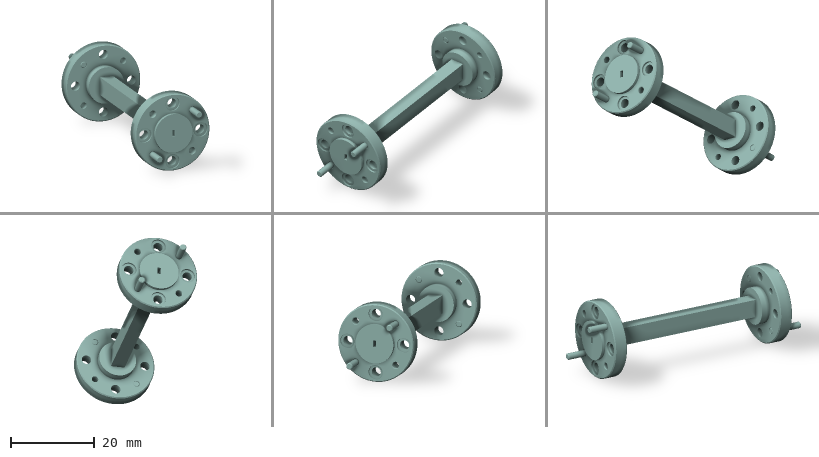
import cadquery as cq
import math

TOTAL_LENGTH = 58.55
FACE_TO_FACE = 50.95
FACE_HEIGHT = 0.9
FLANGE_THICKNESS = 3.35
COLLAR_LENGTH = 2.1
FLANGE_DIAMETER = 19.0
FACE_DIAMETER = 9.55
COLLAR_DIAMETER = 9.0
RIM_CHAMFER = 0.25

TUBE_WIDTH = 3.35
TUBE_HEIGHT = 4.4
BORE_WIDTH = 0.8
BORE_HEIGHT = 1.65

HOLE_CIRCLE_DIAMETER = 14.3
SCREW_HOLE_DIAMETER = 2.3
COUNTERBORE_DIAMETER = 3.6
COUNTERBORE_DEPTH = 0.45

PIN_DIAMETER = 1.6
PIN_CHAMFER = 0.2
PIN_HOLE_CHAMFER = 0.1

FLANGE_OUTER = FACE_TO_FACE / 2 - FACE_HEIGHT
FLANGE_INNER = FLANGE_OUTER - FLANGE_THICKNESS
COLLAR_INNER = FLANGE_INNER - COLLAR_LENGTH

SCREW_HOLE_ANGLES = (0, 90, 180, 270)
PIN_HOLE_ANGLES = (45, 135, 225, 315)
PIN_ANGLES = {-1: (135, 315), 1: (45, 225)}


def rod(diameter, start, end, angle=None):
    """Cylinder along X, on the axis or at an angle on the hole circle."""
    radius = 0 if angle is None else HOLE_CIRCLE_DIAMETER / 2
    turn = math.radians(angle or 0)
    return (
        cq.Workplane("YZ", origin=(start, 0, 0))
        .center(radius * math.cos(turn), radius * math.sin(turn))
        .circle(diameter / 2)
        .extrude(end - start)
    )


def drill_pin_holes(disc, side):
    """Through holes with a chamfered outer mouth; they are the smallest circles on the outer face."""
    for angle in PIN_HOLE_ANGLES:
        disc = disc.cut(rod(PIN_DIAMETER, side * FLANGE_INNER, side * FLANGE_OUTER, angle))
    outer_face = ">X" if side > 0 else "<X"
    smallest_circles = cq.selectors.RadiusNthSelector(0)
    return disc.faces(outer_face).edges(smallest_circles).chamfer(PIN_HOLE_CHAMFER)


def drill_screw_holes(disc, side):
    """Through holes counterbored from the outer face."""
    counterbore_floor = side * (FLANGE_OUTER - COUNTERBORE_DEPTH)
    for angle in SCREW_HOLE_ANGLES:
        disc = disc.cut(rod(SCREW_HOLE_DIAMETER, side * FLANGE_INNER, side * FLANGE_OUTER, angle))
        disc = disc.cut(rod(COUNTERBORE_DIAMETER, counterbore_floor, side * FLANGE_OUTER, angle))
    return disc


def make_flange(side):
    """Drilled disc with collar and raised face; side is -1 for the -X end, +1 for the +X end."""
    disc = rod(FLANGE_DIAMETER, side * FLANGE_INNER, side * FLANGE_OUTER).edges().chamfer(RIM_CHAMFER)
    disc = drill_pin_holes(disc, side)
    disc = drill_screw_holes(disc, side)
    collar = rod(COLLAR_DIAMETER, side * COLLAR_INNER, side * FLANGE_INNER)
    mating_face = rod(FACE_DIAMETER, side * FLANGE_OUTER, side * FACE_TO_FACE / 2)
    return disc.union(collar).union(mating_face)


def make_waveguide():
    """Rectangular tube with a flange at each end and a bore right through."""
    waveguide = cq.Workplane("XY").box(2 * COLLAR_INNER, TUBE_WIDTH, TUBE_HEIGHT)
    for side in (-1, 1):
        waveguide = waveguide.union(make_flange(side))
    bore = cq.Workplane("XY").box(FACE_TO_FACE, BORE_WIDTH, BORE_HEIGHT)
    return waveguide.cut(bore)


def make_pin(side, angle):
    """Dowel pin chamfered at both ends, flush with the inner side of its flange."""
    pin = rod(PIN_DIAMETER, side * FLANGE_INNER, side * TOTAL_LENGTH / 2, angle)
    return pin.faces("<X or >X").chamfer(PIN_CHAMFER)


waveguide = make_waveguide()
pins = [make_pin(side, angle) for side, angles in PIN_ANGLES.items() for angle in angles]

result = cq.Compound.makeCompound([waveguide.val(), *[pin.val() for pin in pins]])